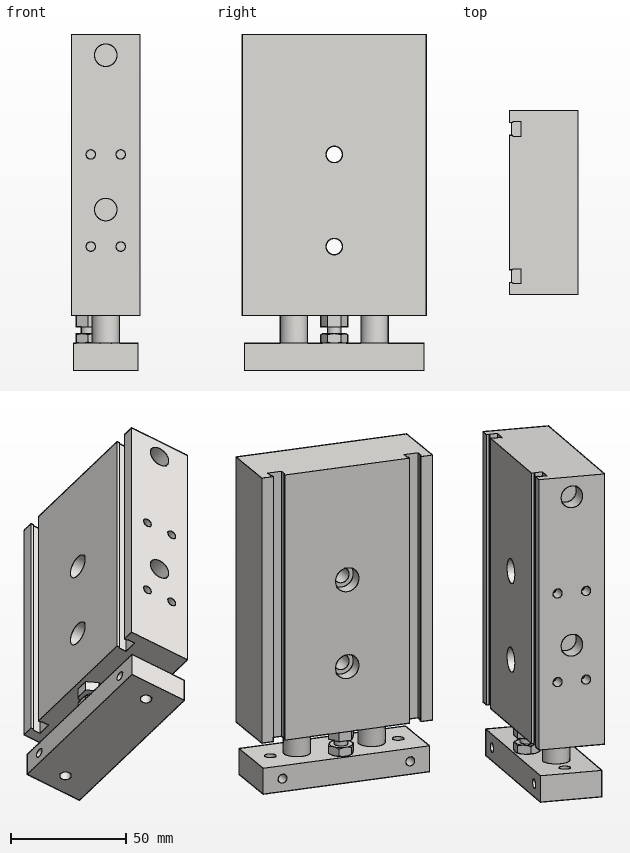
import cadquery as cq
import math

total_height = 146.0
block_depth = 30.0
block_width = 80.0
stroke_gap = 12.0
plate_depth = 28.0
plate_width = 78.0
plate_thickness = 12.0

block_bottom = plate_thickness + stroke_gap
block_height = total_height - block_bottom
block_left = -block_depth / 2
block_front = -block_width / 2

slot_inset = 8.0
slot_mouth_width = 5.4
slot_cavity_width = 6.4
slot_lip_depth = 1.2
slot_depth = 5.1
slot_chamfer = (slot_cavity_width - slot_mouth_width) / 2

mount_heights = [53.9, 93.9]
mount_diameter = 7.0
counterbore_diameter = 11.0
counterbore_depth = 6.5
side_tap_diameter = 4.1
side_tap_depth = 8.0
side_tap_spacing = 13.0

port_diameter = 9.8
port_depth = 9.0
port_heights = [70.0, 137.0]

rod_diameter = 12.0
rod_spacing = 35.0
plate_hole_spacing = 59.9
plate_tap_diameter = 4.1
plate_tap_depth = 8.0
plate_bolt_hole_diameter = 5.0

bolt_offset_x = -7.7
bolt_shank_diameter = 6.0
hex_across_flats = 10.2
hex_corner_diameter = hex_across_flats / math.cos(math.pi / 6)
bolt_head_height = 5.0
nut_height = 4.1
nut_chamfer_angle = math.radians(30)


def cylinder_along_x(diameter, length, x, y, z):
    """Cylinder starting at the given point and running toward +X."""
    return cq.Workplane(
        cq.Solid.makeCylinder(diameter / 2, length, cq.Vector(x, y, z), cq.Vector(1, 0, 0))
    )


def cylinder_along_y(diameter, length, x, y, z):
    """Cylinder starting at the given point and running toward +Y."""
    return cq.Workplane(
        cq.Solid.makeCylinder(diameter / 2, length, cq.Vector(x, y, z), cq.Vector(0, 1, 0))
    )


def make_slot(center_y):
    """Sensor slot with a narrow mouth that widens into a chamfered cavity."""
    mouth = slot_mouth_width / 2
    cavity = slot_cavity_width / 2
    lip_x = block_left + slot_lip_depth
    floor_x = block_left + slot_depth
    return (
        cq.Workplane("XY", origin=(0, center_y, block_bottom))
        .moveTo(block_left, -mouth)
        .lineTo(lip_x, -mouth)
        .lineTo(lip_x + slot_chamfer, -cavity)
        .lineTo(floor_x, -cavity)
        .lineTo(floor_x, cavity)
        .lineTo(lip_x + slot_chamfer, cavity)
        .lineTo(lip_x, mouth)
        .lineTo(block_left, mouth)
        .close()
        .extrude(block_height)
    )


def make_block():
    """Cylinder block with slots, mounting holes, tapped holes and ports."""
    block = cq.Workplane("XY", origin=(0, 0, block_bottom)).box(
        block_depth, block_width, block_height, centered=(True, True, False)
    )
    for side in (-1, 1):
        block = block.cut(make_slot(side * (block_width / 2 - slot_inset)))
    for z in mount_heights:
        block = block.cut(cylinder_along_x(mount_diameter, block_depth, block_left, 0, z))
        block = block.cut(cylinder_along_x(counterbore_diameter, counterbore_depth, block_left, 0, z))
        for side in (-1, 1):
            tap_x = side * side_tap_spacing / 2
            block = block.cut(cylinder_along_y(side_tap_diameter, side_tap_depth, tap_x, block_front, z))
    for z in port_heights:
        block = block.cut(cylinder_along_y(port_diameter, port_depth, 0, block_front, z))
    return block


def make_rod_plate():
    """End plate carrying the two rods that reach up to the block."""
    plate = cq.Workplane("XY").box(
        plate_depth, plate_width, plate_thickness, centered=(True, True, False)
    )
    hole_y = plate_hole_spacing / 2
    plate = plate.cut(
        cq.Workplane("XY")
        .pushPoints([(0, -hole_y), (0, hole_y)])
        .circle(plate_bolt_hole_diameter / 2)
        .extrude(plate_thickness)
    )
    for side in (-1, 1):
        tap = cylinder_along_x(
            plate_tap_diameter, plate_tap_depth, -plate_depth / 2, side * hole_y, plate_thickness / 2
        )
        plate = plate.cut(tap)
    rods = (
        cq.Workplane("XY", origin=(0, 0, plate_thickness))
        .pushPoints([(0, -rod_spacing / 2), (0, rod_spacing / 2)])
        .circle(rod_diameter / 2)
        .extrude(stroke_gap)
    )
    return plate.union(rods)


def make_hexagon(bottom, height):
    """Hexagonal prism with two corners on the Y direction."""
    return (
        cq.Workplane("XY", origin=(bolt_offset_x, 0, bottom))
        .transformed(rotate=(0, 0, 90))
        .polygon(6, hex_corner_diameter)
        .extrude(height)
    )


def make_nut():
    """Lock nut whose corners are turned down to a cone at both ends."""
    corner_radius = hex_corner_diameter / 2
    flat_radius = hex_across_flats / 2
    cone_height = (corner_radius - flat_radius) * math.tan(nut_chamfer_angle)
    turned_profile = (
        cq.Workplane("XZ", origin=(bolt_offset_x, 0, plate_thickness))
        .moveTo(0, 0)
        .lineTo(flat_radius, 0)
        .lineTo(corner_radius, cone_height)
        .lineTo(corner_radius, nut_height - cone_height)
        .lineTo(flat_radius, nut_height)
        .lineTo(0, nut_height)
        .close()
        .revolve(360, (0, 0, 0), (0, 1, 0))
    )
    return make_hexagon(plate_thickness, nut_height).intersect(turned_profile)


def make_stop_bolt():
    """Stop bolt with its hexagonal head under the block and its nut on the plate."""
    shank = (
        cq.Workplane("XY", origin=(bolt_offset_x, 0, plate_thickness))
        .circle(bolt_shank_diameter / 2)
        .extrude(stroke_gap)
    )
    head = make_hexagon(block_bottom - bolt_head_height, bolt_head_height)
    return shank.union(head).union(make_nut())


block = make_block()
rod_plate = make_rod_plate()
stop_bolt = make_stop_bolt()

result = cq.Compound.makeCompound([block.val(), rod_plate.val(), stop_bolt.val()])